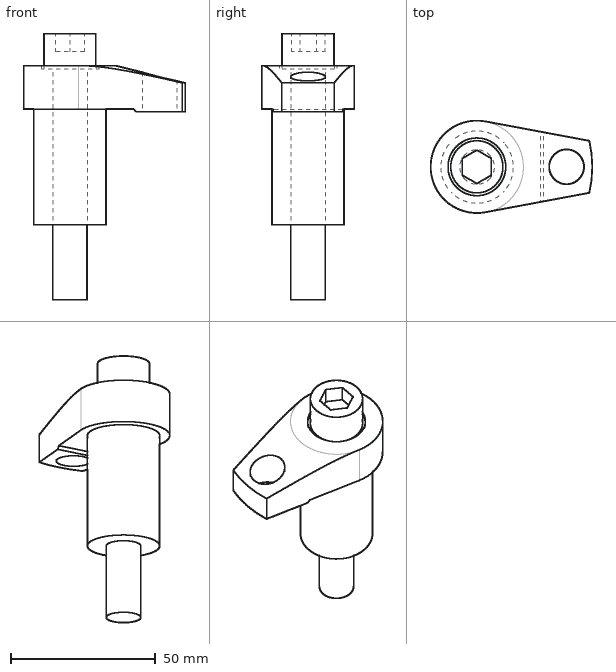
import cadquery as cq
import math

SCREW_LENGTH = 92.0
SHANK_DIAMETER = 12.0
HEAD_DIAMETER = 18.0
HEAD_ABOVE_BOSS = 11.0
HEX_ACROSS_FLATS = 10.0
HEX_DEPTH = 6.0

SLEEVE_DIAMETER = 25.0
SLEEVE_HEIGHT = 40.0
BOSS_DIAMETER = 32.0
BOSS_HEIGHT = 15.0
HEAD_RECESS_DIAMETER = 20.0
HEAD_RECESS_DEPTH = 1.0
ARM_REACH = 39.9
ARM_TIP_WIDTH = 18.0
ARM_TOP_DROP = 6.0
TIP_HOLE_DIAMETER = 12.0
TIP_HOLE_X = 31.0
PAD_START_X = 22.0
PAD_DROP = 1.0

BOSS_RADIUS = BOSS_DIAMETER / 2
BOSS_TOP_Z = SLEEVE_HEIGHT + BOSS_HEIGHT
PAD_Z = SLEEVE_HEIGHT - PAD_DROP
HEAD_SEAT_Z = BOSS_TOP_Z - HEAD_RECESS_DEPTH
SCREW_TOP_Z = BOSS_TOP_Z + HEAD_ABOVE_BOSS
SCREW_FOOT_Z = SCREW_TOP_Z - SCREW_LENGTH


def cylinder(diameter, bottom_z, top_z, x=0.0):
    """Upright cylinder between two heights."""
    return (
        cq.Workplane("XY", origin=(x, 0, bottom_z))
        .circle(diameter / 2)
        .extrude(top_z - bottom_z)
    )


def make_arm_plan():
    """Arm outline: two sides tangent to the boss, closed by the tip arc."""
    tip_y = ARM_TIP_WIDTH / 2
    tip_x = math.sqrt(ARM_REACH**2 - tip_y**2)
    tangent_angle = math.asin(tip_y / ARM_REACH) + math.acos(BOSS_RADIUS / ARM_REACH)
    tangent_x = BOSS_RADIUS * math.cos(tangent_angle)
    tangent_y = BOSS_RADIUS * math.sin(tangent_angle)
    return (
        cq.Workplane("XY", origin=(0, 0, PAD_Z))
        .moveTo(tangent_x, -tangent_y)
        .lineTo(tip_x, -tip_y)
        .threePointArc((ARM_REACH, 0), (tip_x, tip_y))
        .lineTo(tangent_x, tangent_y)
        .close()
        .extrude(BOSS_TOP_Z - PAD_Z)
    )


def make_arm_top():
    """Round envelope, flat over the boss and conical from there to the tip."""
    return (
        cq.Workplane("XZ")
        .moveTo(0, PAD_Z)
        .lineTo(ARM_REACH, PAD_Z)
        .lineTo(ARM_REACH, BOSS_TOP_Z - ARM_TOP_DROP)
        .lineTo(BOSS_RADIUS, BOSS_TOP_Z)
        .lineTo(0, BOSS_TOP_Z)
        .close()
        .revolve(360, (0, 0, 0), (0, 1, 0))
    )


def make_pad_relief():
    """Space under the arm, between the sleeve and the bevelled pad."""
    return (
        cq.Workplane("XZ")
        .moveTo(0, PAD_Z)
        .lineTo(PAD_START_X + PAD_DROP, PAD_Z)
        .lineTo(PAD_START_X, SLEEVE_HEIGHT)
        .lineTo(0, SLEEVE_HEIGHT)
        .close()
        .extrude(BOSS_RADIUS, both=True)
    )


def make_clamp():
    arm = make_arm_plan().intersect(make_arm_top()).cut(make_pad_relief())
    boss = cylinder(BOSS_DIAMETER, SLEEVE_HEIGHT, BOSS_TOP_Z)
    sleeve = cylinder(SLEEVE_DIAMETER, 0, SLEEVE_HEIGHT)
    screw_bore = cylinder(SHANK_DIAMETER, 0, BOSS_TOP_Z)
    head_recess = cylinder(HEAD_RECESS_DIAMETER, HEAD_SEAT_Z, BOSS_TOP_Z)
    tip_hole = cylinder(TIP_HOLE_DIAMETER, PAD_Z, BOSS_TOP_Z, TIP_HOLE_X)
    return boss.union(arm).union(sleeve).cut(screw_bore).cut(head_recess).cut(tip_hole)


def make_screw():
    """Socket head screw; the corners of its hexagon lie along Y."""
    shank = cylinder(SHANK_DIAMETER, SCREW_FOOT_Z, HEAD_SEAT_Z)
    head = cylinder(HEAD_DIAMETER, HEAD_SEAT_Z, SCREW_TOP_Z)
    hex_across_corners = HEX_ACROSS_FLATS / math.cos(math.radians(30))
    socket = (
        cq.Workplane("XY", origin=(0, 0, SCREW_TOP_Z))
        .transformed(rotate=(0, 0, 90))
        .polygon(6, hex_across_corners)
        .extrude(-HEX_DEPTH)
    )
    return shank.union(head).cut(socket)


clamp = make_clamp()
screw = make_screw()

result = cq.Compound.makeCompound([clamp.solids().val(), screw.solids().val()])